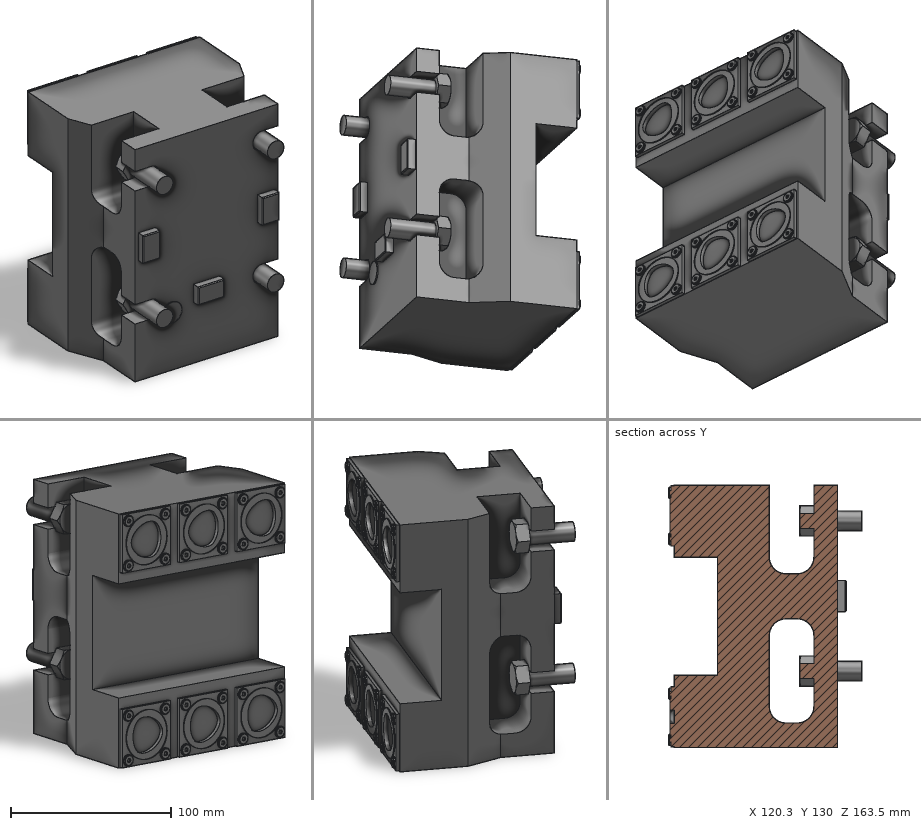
import cadquery as cq
import math

body_height = 163.5
body_width = 130.0
body_depth = 101.9
rear_width = 108.2
taper_start_x = 43.8
taper_end_x = 67.4

recess_depth = 26.8
recess_bottom_z = 45.1
recess_top_z = 118.5

pocket_front_x = 59.4
pocket_rear_x = 87.0
pocket_floor_y = 25.8
pocket_radius = 10.1
pocket_spans_z = ((15.4, 80.1), (108.4, body_height))

bolt_y = 42.0
bolt_spacing_z = 93.7
lower_bolt_z = 47.5
bolt_heights = (lower_bolt_z, lower_bolt_z + bolt_spacing_z)
bolt_diameter = 12.5
bolt_end_x = 116.9
head_across_flats = 19.0
head_thickness = 8.8
head_bevel_angle = math.radians(30)
slot_width = 13.7

socket_pitch_y = 45.0
socket_heights = (19.1, body_height - 19.1)
plate_side = 37.6
plate_thickness = 2.1
disc_diameter = 31.9
disc_rise = 0.7
lobe_mean_radius = 11.6
lobe_swing = 0.7
lobe_depth = plate_thickness + disc_rise
lobe_curve_steps = 72
screw_offset = 14.4
screw_diameter = 7.2
screw_rise = 1.3
screw_chamfer = 0.5
screw_hole_diameter = 2.5
screw_hole_depth = 1.0

key_rise = 5.4
key_chamfer = 0.7
key_width = 19.6
key_length = 12.8
key_outer_reach = 51.5
key_reach = key_outer_reach - key_length / 2
key_centre_z = sum(bolt_heights) / 2
button_diameter = 14.7
button_rise = 0.8
button_y = -26.3
button_z = 40.9


def box(x_span, y_span, z_span):
    """Box filling the given spans along the three axes."""
    spans = (x_span, y_span, z_span)
    sizes = [end - start for start, end in spans]
    corner = cq.Vector(*[start for start, end in spans])
    return cq.Workplane("XY").box(*sizes, centered=False).translate(corner)


def plane_facing_front(x, y=0.0, z=0.0):
    """Workplane whose normal is -X and whose local axes are -Y and +Z."""
    return cq.Workplane(cq.Plane(origin=(x, y, z), xDir=(0, -1, 0), normal=(-1, 0, 0)))


def plane_facing_rear(x, y=0.0, z=0.0):
    """Workplane whose normal is +X and whose local axes are +Y and +Z."""
    return cq.Workplane("YZ", origin=(x, y, z))


def make_body():
    half_width = body_width / 2
    half_rear = rear_width / 2
    block = (
        cq.Workplane("XY")
        .moveTo(0, -half_width)
        .lineTo(taper_start_x, -half_width)
        .lineTo(taper_end_x, -half_rear)
        .lineTo(body_depth, -half_rear)
        .lineTo(body_depth, half_rear)
        .lineTo(taper_end_x, half_rear)
        .lineTo(taper_start_x, half_width)
        .lineTo(0, half_width)
        .close()
        .extrude(body_height)
    )
    recess = box((0, recess_depth), (-half_width, half_width), (recess_bottom_z, recess_top_z))
    return block.cut(recess)


def make_pocket(side, bottom_z, top_z):
    """Side pocket with rounded corners; one reaching the body top stays square there."""
    y_span = sorted((side * pocket_floor_y, side * body_width / 2))
    pocket = box((pocket_front_x, pocket_rear_x), y_span, (bottom_z, top_z))
    rounded_edges = "|Y" if top_z < body_height else "|Y and <Z"
    return pocket.edges(rounded_edges).fillet(pocket_radius)


def make_slot(side, z):
    """Bolt slot through the rear wall, round at its inner end and open to the side."""
    wall = body_depth - pocket_rear_x
    y_span = sorted((side * bolt_y, side * body_width / 2))
    z_span = (z - slot_width / 2, z + slot_width / 2)
    inner_end = plane_facing_rear(pocket_rear_x, side * bolt_y, z).circle(slot_width / 2).extrude(wall)
    return box((pocket_rear_x, body_depth), y_span, z_span).union(inner_end)


def make_bolt(side, z):
    """Bolt whose head sits on the pocket's rear wall, corners pointing along Y and bevelled."""
    across_corners = head_across_flats / math.cos(math.radians(30))
    corner_radius = across_corners / 2
    bevel_width = corner_radius - head_across_flats / 2
    bevel_depth = bevel_width * math.tan(head_bevel_angle)
    base = plane_facing_front(pocket_rear_x, side * bolt_y, z)
    bevelled_disc = (
        base.circle(corner_radius)
        .extrude(head_thickness)
        .faces("<X")
        .edges()
        .chamfer(bevel_depth, bevel_width)
    )
    head = base.polygon(6, across_corners).extrude(head_thickness).intersect(bevelled_disc)
    shank_length = bolt_end_x - pocket_rear_x
    shank = (
        plane_facing_front(bolt_end_x, side * bolt_y, z)
        .circle(bolt_diameter / 2)
        .extrude(shank_length)
    )
    return head.union(shank)


def make_lobe_recess(tip_side):
    """Three-lobed prism of constant width and socket depth, one lobe pointing to the given side."""

    def outline(t):
        angle = 2 * math.pi * t
        reach = lobe_mean_radius + lobe_swing * math.cos(3 * angle)
        slope = -3 * lobe_swing * math.sin(3 * angle)
        across = reach * math.cos(angle) - slope * math.sin(angle)
        up = reach * math.sin(angle) + slope * math.cos(angle)
        return (tip_side * across, up)

    return cq.Workplane("YZ").parametricCurve(outline, N=lobe_curve_steps).extrude(lobe_depth)


def make_socket(tip_side):
    """Tool socket standing forward of X = 0, centred on the X axis."""
    plate = plane_facing_front(0).rect(plate_side, plate_side).extrude(plate_thickness)
    disc_x = -plate_thickness - disc_rise
    disc = plane_facing_front(-plate_thickness).circle(disc_diameter / 2).extrude(disc_rise)
    socket = plate.union(disc)
    socket = socket.cut(make_lobe_recess(tip_side).translate((disc_x, 0, 0)))
    screw = (
        plane_facing_front(-plate_thickness)
        .circle(screw_diameter / 2)
        .extrude(screw_rise)
        .faces("<X")
        .chamfer(screw_chamfer)
        .faces("<X")
        .workplane()
        .circle(screw_hole_diameter / 2)
        .cutBlind(-screw_hole_depth)
    )
    for y in (-screw_offset, screw_offset):
        for z in (-screw_offset, screw_offset):
            socket = socket.union(screw.translate((0, y, z)))
    return socket


def make_key(y, z, size_y, size_z):
    """Rectangular key on the rear face with its outer edges chamfered."""
    key = plane_facing_rear(body_depth, y, z).rect(size_y, size_z).extrude(key_rise)
    return key.faces(">X").chamfer(key_chamfer)


result = make_body()

for side in (-1, 1):
    for bottom_z, top_z in pocket_spans_z:
        result = result.cut(make_pocket(side, bottom_z, top_z))
    for z in bolt_heights:
        result = result.cut(make_slot(side, z)).union(make_bolt(side, z))
    result = result.union(make_key(side * key_reach, key_centre_z, key_length, key_width))

for z, tip_side in zip(socket_heights, (-1, 1)):
    socket = make_socket(tip_side)
    for column in (-1, 0, 1):
        result = result.union(socket.translate((0, column * socket_pitch_y, z)))

result = result.union(make_key(0, key_centre_z - key_reach, key_width, key_length))

button = plane_facing_rear(body_depth, button_y, button_z).circle(button_diameter / 2).extrude(button_rise)
result = result.union(button)